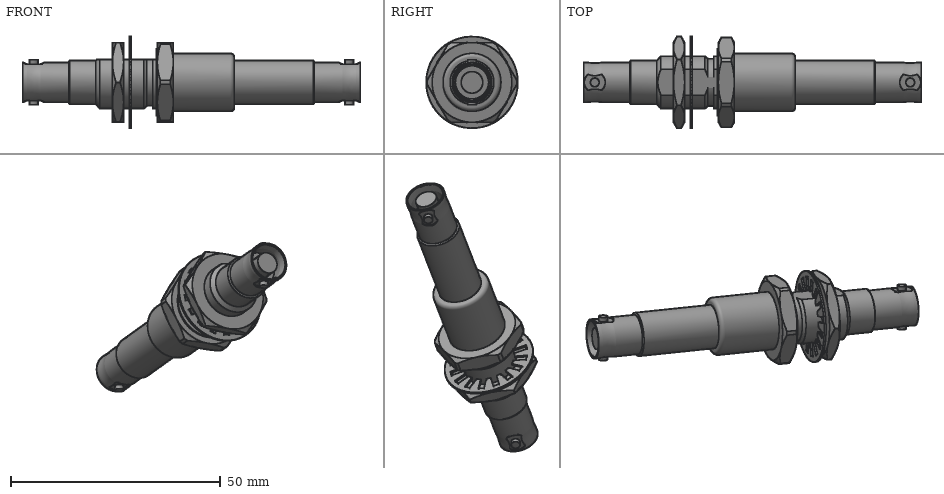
import cadquery as cq
import math

total_length = 80.8
front_step_x = 11.0
thread_start_x = 17.5
thread_full_x = 18.5
relief_chamfer_x = 29.0
relief_start_x = 29.7
relief_end_x = 31.1
flange_front_x = 32.2
flange_thickness = 3.8
barrel_end_x = 50.7
step_chamfer = 0.25

plug_radius = 4.8
sleeve_radius = 5.25
thread_radius = 6.3
relief_radius = 5.65
barrel_radius = 6.95
barrel_fillet = 1.0
thread_flat_z = 5.5

bayonet_x = 2.7
neck_width = 3.2
neck_depth = 0.12
spotface_radius = 2.5
spotface_z = 4.4
spotface_height = 0.8
pin_radius = 1.05
pin_tip_z = 5.4
socket_mouth_radius = 4.4
socket_radius = 3.95
socket_taper = 1.8
socket_depth = 4.85
insulator_radius = 2.6
insulator_face_x = 0.7

hex_sides = 6
across_flats = 19.1
flange_corner_radius = 10.75
hex_chamfer_angle = 30.0
nut_front_x = 21.5
nut_thickness = 2.7
nut_corner_radius = 11.0

washer_front_x = 25.5
washer_thickness = 0.5
washer_radius = 11.0
washer_bore_radius = 6.5
slot_count = 16
slot_width = 1.45
slot_outer_radius = 9.6

gasket_radius = 8.0
gasket_thickness = 0.3


def disc(start_x, length, radius):
    """Cylinder on the part axis."""
    return cq.Workplane("YZ", origin=(start_x, 0, 0)).circle(radius).extrude(length)


def revolve_about_axis(outline):
    """Turn an outline drawn in (x, radius) around the part axis."""
    return outline.close().revolve(360, (0, 0, 0), (1, 0, 0))


def chamfered_hex(start_x, thickness, corner_radius):
    """Hexagon with flats at the top and bottom, its corners turned to a radius and chamfered."""
    flat_radius = across_flats / 2
    chamfer = (corner_radius - flat_radius) * math.tan(math.radians(hex_chamfer_angle))
    end_x = start_x + thickness
    sharp_corner_diameter = across_flats / math.cos(math.pi / hex_sides)
    front_plane = cq.Workplane("YZ", origin=(start_x, 0, 0))
    hexagon = front_plane.polygon(hex_sides, sharp_corner_diameter).extrude(thickness)
    turned_blank = revolve_about_axis(
        cq.Workplane("XY")
        .moveTo(start_x, 0)
        .lineTo(start_x, flat_radius)
        .lineTo(start_x + chamfer, corner_radius)
        .lineTo(end_x - chamfer, corner_radius)
        .lineTo(end_x, flat_radius)
        .lineTo(end_x, 0)
    )
    return hexagon.intersect(turned_blank)


def make_shaft():
    """Turned plug ends and sleeves, the same on both sides of the middle."""
    rear_step_x = total_length - front_step_x
    return revolve_about_axis(
        cq.Workplane("XY")
        .moveTo(0, 0)
        .lineTo(0, plug_radius)
        .lineTo(front_step_x, plug_radius)
        .lineTo(front_step_x + step_chamfer, sleeve_radius)
        .lineTo(rear_step_x - step_chamfer, sleeve_radius)
        .lineTo(rear_step_x, plug_radius)
        .lineTo(total_length, plug_radius)
        .lineTo(total_length, 0)
    )


def make_threaded_section():
    """Plain thread cylinder with lead-in chamfer, relief groove and a flat along the top."""
    threaded = revolve_about_axis(
        cq.Workplane("XY")
        .moveTo(thread_start_x, 0)
        .lineTo(thread_start_x, sleeve_radius)
        .lineTo(thread_full_x, thread_radius)
        .lineTo(relief_chamfer_x, thread_radius)
        .lineTo(relief_start_x, relief_radius)
        .lineTo(relief_end_x, relief_radius)
        .lineTo(relief_end_x, thread_radius)
        .lineTo(flange_front_x, thread_radius)
        .lineTo(flange_front_x, 0)
    )
    above_flat = (
        cq.Workplane("XY", origin=(flange_front_x / 2, 0, thread_flat_z))
        .rect(flange_front_x, 2 * thread_radius)
        .extrude(thread_radius - thread_flat_z)
    )
    return threaded.cut(above_flat)


def make_barrel():
    """Smooth barrel behind the flange, rounded at its rear edge."""
    flange_back_x = flange_front_x + flange_thickness
    barrel = disc(flange_back_x, barrel_end_x - flange_back_x, barrel_radius)
    return barrel.faces(">X").edges().fillet(barrel_fillet)


def cut_neck(body):
    """Shallow concave groove around the front plug end."""
    neck_start_x = bayonet_x - neck_width / 2
    neck_end_x = bayonet_x + neck_width / 2
    neck = revolve_about_axis(
        cq.Workplane("XY")
        .moveTo(neck_start_x, sleeve_radius)
        .lineTo(neck_start_x, plug_radius)
        .threePointArc((bayonet_x, plug_radius - neck_depth), (neck_end_x, plug_radius))
        .lineTo(neck_end_x, sleeve_radius)
    )
    return body.cut(neck)


def add_bayonet_pins(body):
    """Spotface above and below the front plug end, with a pin standing on each."""
    pin_length = pin_tip_z - spotface_z
    pin_axis = cq.Workplane("XY", origin=(bayonet_x, 0, 0))
    for side in (1, -1):
        spotface_plane = pin_axis.workplane(offset=side * spotface_z)
        spotface = spotface_plane.circle(spotface_radius).extrude(side * spotface_height)
        pin = spotface_plane.circle(pin_radius).extrude(side * pin_length)
        body = body.cut(spotface).union(pin)
    return body


def cut_socket(body):
    """Tapered socket in the front end, leaving the insulator boss standing in its middle."""
    socket = revolve_about_axis(
        cq.Workplane("XY")
        .lineTo(0, socket_mouth_radius)
        .lineTo(socket_taper, socket_radius)
        .lineTo(socket_depth, socket_radius)
        .lineTo(socket_depth, 0)
    )
    insulator_length = socket_depth - insulator_face_x
    socket = socket.cut(disc(insulator_face_x, insulator_length, insulator_radius))
    return body.cut(socket)


def make_body():
    """One-piece connector body with a bayonet socket at each end."""
    body = make_shaft()
    body = body.union(make_threaded_section())
    body = body.union(chamfered_hex(flange_front_x, flange_thickness, flange_corner_radius))
    body = body.union(make_barrel())
    for _ in range(2):
        body = cut_socket(add_bayonet_pins(cut_neck(body)))
        body = body.rotate((total_length / 2, 0, 0), (total_length / 2, 0, 1), 180)
    return body


def make_lock_nut():
    """Plain hex nut fitting the thread cylinder."""
    nut = chamfered_hex(nut_front_x, nut_thickness, nut_corner_radius)
    return nut.cut(disc(nut_front_x, nut_thickness, thread_radius))


def make_lock_washer():
    """Thin internal-tooth washer: evenly spaced slots run outward from the bore."""
    washer = disc(washer_front_x, washer_thickness, washer_radius)
    washer = washer.cut(disc(washer_front_x, washer_thickness, washer_bore_radius))
    pitch = 360 / slot_count
    slot = cq.Workplane("XY", origin=(washer_front_x, 0, 0)).box(
        washer_thickness, slot_outer_radius, slot_width, centered=(False, False, True)
    )
    for index in range(slot_count):
        turned_slot = slot.rotate((0, 0, 0), (1, 0, 0), (index + 0.5) * pitch)
        washer = washer.cut(turned_slot)
    return washer


def make_gasket():
    """Flat sealing ring against the front of the flange."""
    gasket_front_x = flange_front_x - gasket_thickness
    gasket = disc(gasket_front_x, gasket_thickness, gasket_radius)
    return gasket.cut(disc(gasket_front_x, gasket_thickness, thread_radius))


body = make_body()
lock_nut = make_lock_nut()
lock_washer = make_lock_washer()
gasket = make_gasket()

result = cq.Compound.makeCompound([body.val(), lock_nut.val(), lock_washer.val(), gasket.val()])